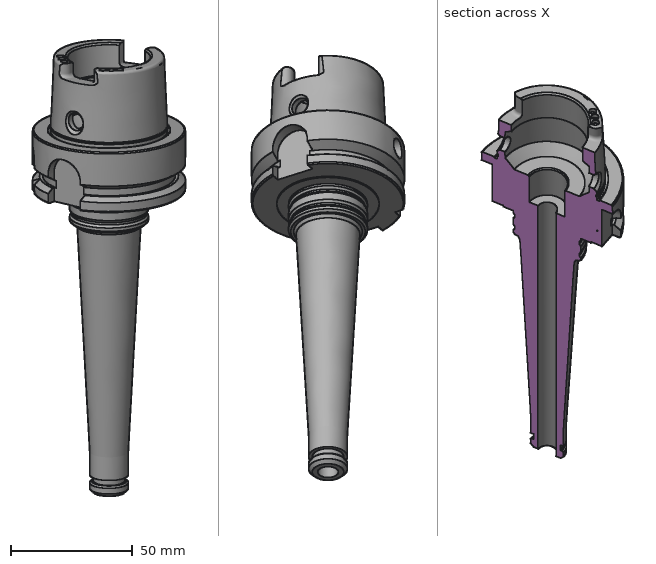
import cadquery as cq
import math


total_length = 188.0
shank_top = 32.0
nose_end = shank_top - total_length

shank_top_radius = 22.7
shank_base_radius = 24.0
shank_edge_round = 1.3
taper_end = 1.9
relief_radius = 23.5
relief_height = 0.8
face_relief_radius = 25.2
face_relief_depth = 0.5

flange_radius = 63.0 / 2
flange_edge = 0.5
flange_bottom = -26.0
groove_radius = 27.3
groove_ledge_radius = 28.5
groove_top = -14.5
groove_bottom = -21.6
groove_slope = math.tan(math.radians(30))
upper_flank = (flange_radius - groove_radius) * groove_slope
lower_flank = (flange_radius - groove_ledge_radius) * groove_slope
foot_radius = 21.0
foot_height = 0.5

neck_radius = 32.5 / 2
neck_bottom = -39.7
neck_chamfer = 1.0
ring_groove_depth = 0.8
ring_groove_floor = 1.0
ring_groove_flank = 1.1
ring_groove_centers = (-29.1, -35.7)

stem_shoulder_radius = 14.1
stem_top_radius = 13.2
stem_top = -41.2
stem_radius = 16.0 / 2
stem_taper_end = nose_end + 17.3
stem_end = nose_end + 7.3
nose_neck_radius = 13.0 / 2
collar_top = nose_end + 4.7
collar_top_chamfer = 0.8
nose_chamfer = 1.5

bore_radius = 34.0 / 2
bore_mouth_chamfer = 0.8
lip_bottom = shank_top - 13.7
chamber_radius = 40.0 / 2
chamber_flank = (chamber_radius - bore_radius) * math.tan(math.radians(30))
chamber_bottom = 1.9
floor_radius = 15.6
floor_z = chamber_bottom - (chamber_radius - floor_radius)
tube_radius = 17.0 / 2
tube_chamfer = 0.5
tube_depth = 15.0
coolant_radius = 8.5 / 2

slot_half_width = 6.5
slot_flare = 3.0
slot_mouth = 20.7
slot_floor_round = 1.7
front_slot_depth = 6.0
back_slot_depth = 10.0

cross_hole_diameter = 7.5
cross_hole_mouth = 10.0
cross_hole_z = 9.0

pin_diameter = 3.0
pin_depth = 1.9
pin_circle_radius = 20.0
pin_angles = (-60, -50, -40)
pin_tip_half_angle = 59

flat_distance = 26.3
flat_radius = 8.3
flat_center_z = -13.3
notch_wall = 20.1
notch_radius = 13.0 / 2
notch_center_z = -11.5
chip_hole_diameter = 8.5
chip_hole_depth = 4.5
chip_hole_z = -7.1
chip_hole_angle = 7.5


def ring_groove(center):
    """Outline points of one neck groove, from top to bottom."""
    half_floor = ring_groove_floor / 2
    half_mouth = half_floor + ring_groove_flank
    floor = neck_radius - ring_groove_depth
    return [
        (neck_radius, center + half_mouth),
        (floor, center + half_floor),
        (floor, center - half_floor),
        (neck_radius, center - half_mouth),
    ]


def make_body():
    """Solid of revolution with all outer steps."""
    outline = [
        (0, shank_top),
        (shank_top_radius, shank_top),
        (shank_base_radius, taper_end),
        (relief_radius, taper_end),
        (relief_radius, taper_end - relief_height),
        (shank_base_radius, taper_end - relief_height),
        (shank_base_radius, -face_relief_depth),
        (face_relief_radius, -face_relief_depth),
        (face_relief_radius, 0),
        (flange_radius - flange_edge, 0),
        (flange_radius, -flange_edge),
        (flange_radius, groove_top),
        (groove_radius, groove_top - upper_flank),
        (groove_radius, groove_bottom + lower_flank),
        (groove_ledge_radius, groove_bottom + lower_flank),
        (flange_radius, groove_bottom),
        (flange_radius, flange_bottom + flange_edge),
        (flange_radius - flange_edge, flange_bottom),
        (foot_radius, flange_bottom),
        (foot_radius, flange_bottom - foot_height),
        (neck_radius, flange_bottom - foot_height),
    ]
    for center in ring_groove_centers:
        outline += ring_groove(center)
    outline += [
        (neck_radius, neck_bottom + neck_chamfer),
        (neck_radius - neck_chamfer, neck_bottom),
        (stem_shoulder_radius, neck_bottom),
        (stem_top_radius, stem_top),
        (stem_radius, stem_taper_end),
        (stem_radius, stem_end),
        (nose_neck_radius, stem_end),
        (nose_neck_radius, collar_top),
        (stem_radius - collar_top_chamfer, collar_top),
        (stem_radius, collar_top - collar_top_chamfer),
        (stem_radius, nose_end + nose_chamfer),
        (stem_radius - nose_chamfer, nose_end),
        (0, nose_end),
    ]
    body = cq.Workplane("XZ").polyline(outline).close().revolve(360, (0, 0), (0, 1))
    return body.faces(">Z").edges().fillet(shank_edge_round)


def make_bore():
    """Clamping chamber, coolant tube seat and coolant hole as one revolved cutter."""
    outline = [
        (0, shank_top),
        (bore_radius + bore_mouth_chamfer, shank_top),
        (bore_radius, shank_top - bore_mouth_chamfer),
        (bore_radius, lip_bottom),
        (chamber_radius, lip_bottom - chamber_flank),
        (chamber_radius, chamber_bottom),
        (floor_radius, floor_z),
        (tube_radius + tube_chamfer, floor_z),
        (tube_radius, floor_z - tube_chamfer),
        (tube_radius, floor_z - tube_depth),
        (coolant_radius, floor_z - tube_depth),
        (coolant_radius, nose_end),
        (0, nose_end),
    ]
    return cq.Workplane("XZ").polyline(outline).close().revolve(360, (0, 0), (0, 1))


def make_drive_slot(depth):
    """Rim slot on the -Y side, flared at its mouth, with a rounded floor."""
    inner_y = -bore_radius / 2
    outer_y = -flange_radius
    flare_start = -slot_mouth + slot_flare
    flare_x = slot_half_width + slot_flare
    outer_x = flare_x + slot_flare
    mid_x = flare_x - slot_flare * math.cos(math.radians(45))
    mid_y = flare_start - slot_flare * math.sin(math.radians(45))
    slot = (
        cq.Workplane("XY", origin=(0, 0, shank_top - depth))
        .moveTo(-slot_half_width, inner_y)
        .lineTo(slot_half_width, inner_y)
        .lineTo(slot_half_width, flare_start)
        .threePointArc((mid_x, mid_y), (flare_x, -slot_mouth))
        .lineTo(outer_x, -slot_mouth)
        .lineTo(outer_x, outer_y)
        .lineTo(-outer_x, outer_y)
        .lineTo(-outer_x, -slot_mouth)
        .lineTo(-flare_x, -slot_mouth)
        .threePointArc((-mid_x, mid_y), (-slot_half_width, flare_start))
        .close()
        .extrude(2 * depth)
    )
    return slot.faces("<Z").edges().fillet(slot_floor_round)


def make_cross_hole():
    """Hole along Y through both shank walls, with a 45 degree countersink on the outside."""
    hole_radius = cross_hole_diameter / 2
    mouth_radius = cross_hole_mouth / 2
    taper_slope = (shank_base_radius - shank_top_radius) / (shank_top - taper_end)
    wall_radius = shank_base_radius - taper_slope * (cross_hole_z - taper_end)
    sink_start = wall_radius - (mouth_radius - hole_radius)
    sink_end = face_relief_radius
    sink_end_radius = hole_radius + sink_end - sink_start
    profile = [
        (0, -sink_end),
        (sink_end_radius, -sink_end),
        (hole_radius, -sink_start),
        (hole_radius, sink_start),
        (sink_end_radius, sink_end),
        (0, sink_end),
    ]
    hole = cq.Workplane("XY").polyline(profile).close().revolve(360, (0, 0), (0, 1))
    return hole.translate((0, 0, cross_hole_z))


def make_pin_holes():
    """Blind holes with conical tips, three beside each end of the front slot."""
    radius = pin_diameter / 2
    tip = radius / math.tan(math.radians(pin_tip_half_angle))
    profile = [
        (0, shank_top),
        (radius, shank_top),
        (radius, shank_top - pin_depth),
        (0, shank_top - pin_depth - tip),
    ]
    hole = cq.Workplane("XZ").polyline(profile).close().revolve(360, (0, 0), (0, 1))
    hole = hole.translate((pin_circle_radius, 0, 0))
    holes = cq.Workplane("XY")
    for angle in pin_angles:
        for turn in (angle, -180 - angle):
            holes = holes.add(hole.rotate((0, 0, 0), (0, 0, 1), turn))
    return holes.combine()


def make_flat_cut():
    """Round-topped flat on the -Y side of the flange, open at the bottom."""
    bottom = flange_bottom - foot_height
    return (
        cq.Workplane("XZ", origin=(0, -flat_distance, 0))
        .moveTo(-flat_radius, bottom)
        .lineTo(-flat_radius, flat_center_z)
        .threePointArc((0, flat_center_z + flat_radius), (flat_radius, flat_center_z))
        .lineTo(flat_radius, bottom)
        .close()
        .extrude(flange_radius)
    )


def make_notch():
    """Round-topped orientation notch in the -X -Y quarter of the flange."""
    bottom = flange_bottom - foot_height
    center_x = -notch_wall - notch_radius
    far_x = center_x - notch_radius
    return (
        cq.Workplane("XZ", origin=(0, -notch_wall, 0))
        .moveTo(-notch_wall, bottom)
        .lineTo(-notch_wall, notch_center_z)
        .threePointArc((center_x, notch_center_z + notch_radius), (far_x, notch_center_z))
        .lineTo(far_x, bottom)
        .close()
        .extrude(flange_radius)
    )


def make_chip_hole():
    """Blind radial hole in the flange, turned slightly from -X toward -Y."""
    hole = cq.Workplane("YZ", origin=(-flange_radius + chip_hole_depth, 0, chip_hole_z))
    hole = hole.circle(chip_hole_diameter / 2).extrude(-2 * chip_hole_depth)
    return hole.rotate((0, 0, 0), (0, 0, 1), chip_hole_angle)


def to_back(cutter):
    """Turn a -Y side cutter round to the +Y side."""
    return cutter.rotate((0, 0, 0), (0, 0, 1), 180)


result = make_body().cut(make_bore())
result = result.cut(make_drive_slot(front_slot_depth))
result = result.cut(to_back(make_drive_slot(back_slot_depth)))
result = result.cut(make_cross_hole())
result = result.cut(make_pin_holes())
result = result.cut(make_flat_cut())
result = result.cut(to_back(make_flat_cut()))
result = result.cut(make_notch())
result = result.cut(make_chip_hole())